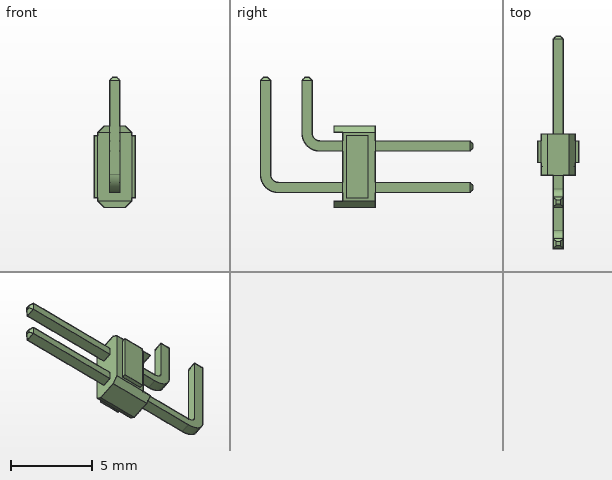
import cadquery as cq

pitch = 2.54

housing_width = 2.09
housing_height = 5.01
housing_depth = pitch
corner_chamfer = 0.39
recess_depth = 0.55
flange_thickness = corner_chamfer

pad_span = 2.54
pad_depth = 1.33
pad_height = 3.81
pad_rear_inset = 0.43

pin_size = 0.64
tip_chamfer = 0.2
bend_inner_radius = 0.47
bend_center_radius = bend_inner_radius + pin_size / 2
pin_top = 8.0
overall_length = 13.04
rear_projection = 6.0
front_end = rear_projection - overall_length

housing_mid_z = housing_height / 2
lower_pin_z = housing_mid_z - pitch / 2
lower_pin_y = front_end + pin_size / 2


def make_housing():
    """Chamfered block with flanges overhanging the front recess at top and bottom."""
    block = (
        cq.Workplane("XY")
        .box(housing_width, housing_depth, housing_height, centered=(True, False, False))
        .translate((0, -housing_depth, 0))
        .edges("|Y")
        .chamfer(corner_chamfer)
    )
    recess = (
        cq.Workplane("XY")
        .box(
            housing_width,
            recess_depth,
            housing_height - 2 * flange_thickness,
            centered=(True, False, True),
        )
        .translate((0, -housing_depth, housing_mid_z))
    )
    return block.cut(recess)


def make_pads():
    """Bar through the housing whose ends form the two side pads."""
    pad_center_y = -pad_rear_inset - pad_depth / 2
    return (
        cq.Workplane("XY")
        .box(pad_span, pad_depth, pad_height)
        .translate((0, pad_center_y, housing_mid_z))
    )


def make_pin(leg_y, tail_z):
    """Square pin with a horizontal tail at tail_z bent up into a vertical leg at leg_y."""
    bend_center = (leg_y + bend_center_radius, tail_z + bend_center_radius)
    path = (
        cq.Workplane("YZ")
        .moveTo(rear_projection, tail_z)
        .lineTo(bend_center[0], tail_z)
        .radiusArc((leg_y, bend_center[1]), bend_center_radius)
        .lineTo(leg_y, pin_top)
    )
    pin = (
        cq.Workplane("XZ", origin=(0, rear_projection, tail_z))
        .rect(pin_size, pin_size)
        .sweep(path)
    )
    return pin.faces(">Y or >Z").chamfer(tip_chamfer)


result = make_housing().union(make_pads())
for row in range(2):
    offset = row * pitch
    result = result.union(make_pin(lower_pin_y + offset, lower_pin_z + offset))